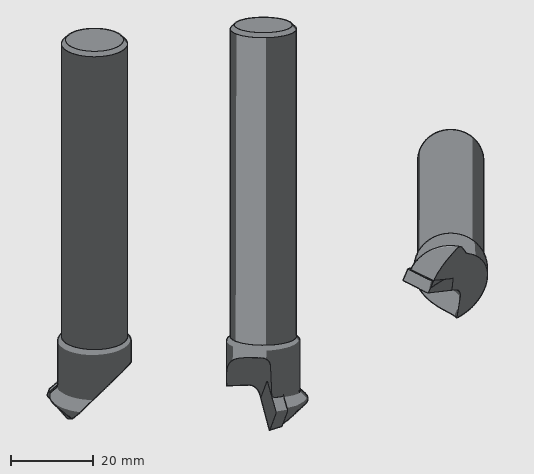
import cadquery as cq
import math

TOTAL_HEIGHT = 100.0
SHANK_RADIUS = 16.0 / 2
SHANK_CHAMFER = 1.0
HEAD_RADIUS = 17.8 / 2
HEAD_TOP = 22.0
HEAD_EDGE_ROUND = 0.6

RIM_RADIUS = 10.8
RIM_ROUND = 0.8
RIM_HEIGHT = 6.4
FLANGE_NECK_ROUND = 1.0

BACK_FACE_START_X = -5.5
BACK_FACE_ANGLE = 47.8

INSERT_TIP_X = -5.6
INSERT_HALF_DIAGONAL = 6.4
INSERT_CORNER_ROUND = 0.7
INSERT_THICKNESS = 3.1
INSERT_CLEARANCE_ANGLE = 7.0
RAKE_TILT = 3.5
INSERT_TIP_Z = -INSERT_CORNER_ROUND * (math.sqrt(2) - 1)
INSERT_CENTER_Z = INSERT_TIP_Z + INSERT_HALF_DIAGONAL

POCKET_WALL_TOP = (-9.0, 19.0)
POCKET_WALL_MIDDLE = (0.0, 14.8)
POCKET_WALL_BOTTOM = (3.0, 8.0)
POCKET_FLOOR_ROUND = 2.2
POCKET_DRAFT = 5.0
POCKET_DEPTH = 2 * RIM_RADIUS
POCKET_OUTER_X = -2 * RIM_RADIUS
POCKET_BOTTOM_Z = -RIM_RADIUS


def tilt_about_cutting_edge(body):
    """Raise the inner side of a body toward +Y, keeping the cutting edge in place."""
    tip = (INSERT_TIP_X, 0, INSERT_TIP_Z)
    outer_corner = (INSERT_TIP_X - INSERT_HALF_DIAGONAL, 0, INSERT_CENTER_Z)
    return body.rotate(tip, outer_corner, RAKE_TILT)


def make_turned_blank():
    sin45 = math.sqrt(0.5)
    rim_center = RIM_RADIUS - RIM_ROUND
    cone_end_radius = rim_center + RIM_ROUND * sin45
    upper_cone_end = RIM_HEIGHT + RIM_ROUND * sin45
    lower_cone_end = RIM_HEIGHT - RIM_ROUND * sin45

    neck_corner = upper_cone_end + cone_end_radius - HEAD_RADIUS
    neck_top = neck_corner + FLANGE_NECK_ROUND * math.tan(math.pi / 8)
    neck_center_radius = HEAD_RADIUS + FLANGE_NECK_ROUND
    neck_middle = (
        neck_center_radius - FLANGE_NECK_ROUND * math.cos(math.pi / 8),
        neck_top - FLANGE_NECK_ROUND * math.sin(math.pi / 8),
    )
    neck_end = (
        neck_center_radius - FLANGE_NECK_ROUND * sin45,
        neck_top - FLANGE_NECK_ROUND * sin45,
    )

    head_chamfer = HEAD_RADIUS - SHANK_RADIUS
    edge_round_end = HEAD_TOP - head_chamfer - HEAD_EDGE_ROUND * math.tan(math.pi / 8)
    edge_center_radius = HEAD_RADIUS - HEAD_EDGE_ROUND
    edge_start = (
        edge_center_radius + HEAD_EDGE_ROUND * sin45,
        edge_round_end + HEAD_EDGE_ROUND * sin45,
    )
    edge_middle = (
        edge_center_radius + HEAD_EDGE_ROUND * math.cos(math.pi / 8),
        edge_round_end + HEAD_EDGE_ROUND * math.sin(math.pi / 8),
    )

    profile = (
        cq.Workplane("XZ")
        .moveTo(0, 0)
        .lineTo(cone_end_radius - lower_cone_end, 0)
        .lineTo(cone_end_radius, lower_cone_end)
        .threePointArc((RIM_RADIUS, RIM_HEIGHT), (cone_end_radius, upper_cone_end))
        .lineTo(*neck_end)
        .threePointArc(neck_middle, (HEAD_RADIUS, neck_top))
        .lineTo(HEAD_RADIUS, edge_round_end)
        .threePointArc(edge_middle, edge_start)
        .lineTo(SHANK_RADIUS, HEAD_TOP)
        .lineTo(SHANK_RADIUS, TOTAL_HEIGHT - SHANK_CHAMFER)
        .lineTo(SHANK_RADIUS - SHANK_CHAMFER, TOTAL_HEIGHT)
        .lineTo(0, TOTAL_HEIGHT)
        .close()
    )
    return profile.revolve(360, (0, 0), (0, 1))


def make_back_face_cutter():
    reach = 2 * RIM_RADIUS
    rise = reach * math.tan(math.radians(BACK_FACE_ANGLE))
    return (
        cq.Workplane("XZ")
        .moveTo(BACK_FACE_START_X - reach, -rise)
        .lineTo(BACK_FACE_START_X + reach, rise)
        .lineTo(BACK_FACE_START_X + reach, -rise)
        .close()
        .extrude(reach, both=True)
    )


def make_chip_pocket():
    pocket = (
        cq.Workplane("XZ")
        .moveTo(*POCKET_WALL_TOP)
        .threePointArc(POCKET_WALL_MIDDLE, POCKET_WALL_BOTTOM)
        .lineTo(POCKET_WALL_BOTTOM[0], POCKET_BOTTOM_Z)
        .lineTo(POCKET_OUTER_X, POCKET_BOTTOM_Z)
        .lineTo(POCKET_OUTER_X, POCKET_WALL_TOP[1])
        .close()
        .extrude(-POCKET_DEPTH, taper=-POCKET_DRAFT)
    )
    pocket = pocket.faces("<Y").edges("%CIRCLE").fillet(POCKET_FLOOR_ROUND)
    return tilt_about_cutting_edge(pocket)


def make_insert():
    insert = (
        cq.Workplane("XZ")
        .moveTo(INSERT_TIP_X, INSERT_TIP_Z)
        .lineTo(INSERT_TIP_X + INSERT_HALF_DIAGONAL, INSERT_CENTER_Z)
        .lineTo(INSERT_TIP_X, INSERT_CENTER_Z + INSERT_HALF_DIAGONAL)
        .lineTo(INSERT_TIP_X - INSERT_HALF_DIAGONAL, INSERT_CENTER_Z)
        .close()
        .extrude(INSERT_THICKNESS, taper=INSERT_CLEARANCE_ANGLE)
        .edges("not(#Y or <Y or >Y)")
        .fillet(INSERT_CORNER_ROUND)
    )
    return tilt_about_cutting_edge(insert)


back_face_cutter = make_back_face_cutter()
insert = make_insert().cut(back_face_cutter)
holder = make_turned_blank().cut(back_face_cutter).cut(make_chip_pocket()).cut(insert)

result = cq.Compound.makeCompound([holder.solids().val(), insert.solids().val()])